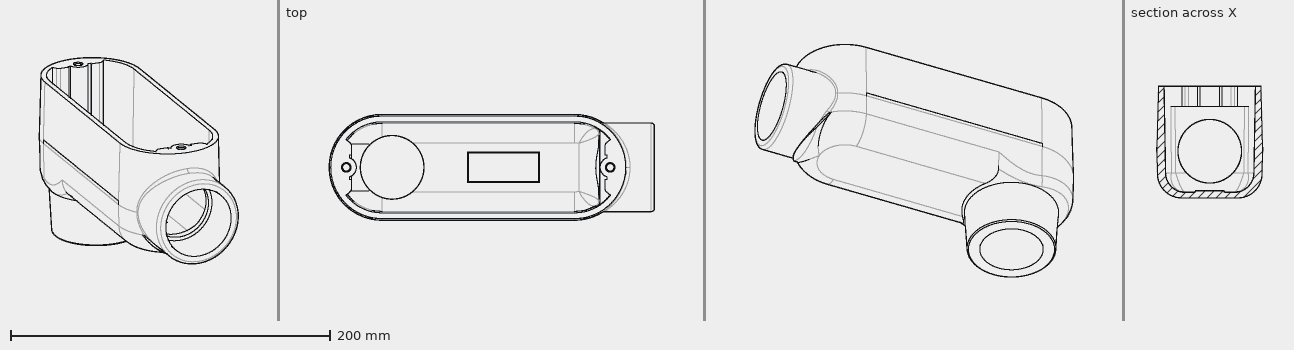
import cadquery as cq
import math


overall_length = 203.8
body_span = 120.5
body_radius = 33.2
draft = 1.5
rim_z = 40.8
floor_under_z = -29.3
under_round = 15.3
land_height = 2.5

mouth_radius = 28.5
cavity_floor_z = -25.7
cavity_draft = 1.0
floor_round = 12.2
end_wall_x = 136.3
end_wall_top_z = 28.1
end_wall_corner = 3.0

hub_bore = 39.7
hub_diameter = 55.6
side_hub_end_x = overall_length - body_radius
side_hub_end_round = 2.0
side_hub_root_x = 147.7
side_hub_root_end_x = 154.6
side_hub_blend = 2.5
side_bore_step_x = 139.8
side_bore_outer = 44.5
down_hub_x = 6.3
down_hub_bottom_z = -61.0
down_hub_top_z = -31.0
down_hub_top_radius = 29.5
down_hub_chamfer = 0.8
flare_angle = 45
flare_round = 9.4
flare_top_z = -10.2

screw_inset = 22.5
screw_diameter = 4.7
screw_depth = 16.3
screw_chamfer = 0.6
screw_chamfer_angle = 45
screw_boss_radius = 6.3
pad_face = 19.2
pad_half_width = 14.7
pad_corner_half_width = 17.3
pad_round = 3.0
pad_recess_depth = 1.2
pad_recess_width = 15.5

plate_x = 53.4
plate_length = 45.0
plate_width = 19.0
plate_height = 1.0
plate_draft = 30


def drafted(radius, z, height, angle):
    """Slot-shaped block, its sides leaning inward by the angle along the extrusion."""
    return (
        cq.Workplane("XY", origin=(body_span / 2, 0, z))
        .slot2D(body_span + 2 * radius, 2 * radius)
        .extrude(height, taper=angle)
    )


def make_body():
    upper = drafted(body_radius, 0, rim_z, draft)
    lower = drafted(body_radius, 0, floor_under_z, draft).faces("<Z").edges().fillet(under_round)
    land = (
        cq.Workplane("XY")
        .rect(body_span, 2 * body_radius)
        .extrude(land_height)
        .translate((body_span / 2, 0, 0))
    )
    return upper.union(lower).union(land)


def make_flare():
    """Cone from the down hub out to the upright walls of the body, its outer edge rounded."""
    spread = flare_top_z - down_hub_top_z
    cone = (
        cq.Workplane("XY", origin=(down_hub_x, 0, down_hub_top_z))
        .circle(down_hub_top_radius)
        .extrude(spread, taper=-flare_angle)
    )
    flare = cone.intersect(drafted(body_radius, 0, down_hub_top_z, draft))
    meeting_edges = flare.edges("%HYPERBOLA").add(flare.edges("%BSPLINE"))
    return meeting_edges.fillet(flare_round)


def make_down_hub():
    height = down_hub_top_z - down_hub_bottom_z
    lean = math.degrees(math.atan((down_hub_top_radius - hub_diameter / 2) / height))
    return (
        cq.Workplane("XY", origin=(down_hub_x, 0, down_hub_top_z))
        .circle(down_hub_top_radius)
        .extrude(-height, taper=lean)
        .faces("<Z")
        .chamfer(down_hub_chamfer)
    )


def turned_along_x(profile):
    """Revolve (x, radius) points about the side hub axis; the seam lies on top."""
    (start, _), (end, _) = profile[0], profile[-1]
    outline = [(start, 0)] + profile + [(end, 0)]
    return cq.Workplane("XZ").polyline(outline).close().revolve(360, (0, 0, 0), (1, 0, 0))


def cylinder_along_x(start, end, radius):
    return turned_along_x([(start, radius), (end, radius)])


def make_side_hub():
    hub = cylinder_along_x(body_span, side_hub_end_x, hub_diameter / 2)
    return hub.faces(">X").edges().fillet(side_hub_end_round)


def make_side_hub_root():
    """Round filling under the right end, kept inside the upright walls of the body."""
    root = turned_along_x(
        [
            (body_span, -floor_under_z),
            (side_hub_root_x, -floor_under_z),
            (side_hub_root_end_x, hub_diameter / 2),
        ]
    )
    return root.intersect(drafted(body_radius, 0, floor_under_z, draft))


def make_cavity():
    depth = rim_z - cavity_floor_z
    full = drafted(mouth_radius, rim_z, -depth, cavity_draft)
    wall_height = end_wall_top_z - cavity_floor_z
    wall_foot_x = end_wall_x - wall_height * math.tan(math.radians(cavity_draft))
    beyond_wall = (
        cq.Workplane("XZ", origin=(0, mouth_radius, 0))
        .moveTo(wall_foot_x, cavity_floor_z)
        .lineTo(end_wall_x, end_wall_top_z)
        .lineTo(end_wall_x + body_radius, end_wall_top_z)
        .lineTo(end_wall_x + body_radius, cavity_floor_z)
        .close()
        .extrude(2 * mouth_radius)
    )
    cavity = full.cut(beyond_wall)
    margin = 1.0
    wall_sides = cq.selectors.BoxSelector(
        (wall_foot_x - margin, -mouth_radius, cavity_floor_z - margin),
        (end_wall_x + margin, mouth_radius, end_wall_top_z + margin),
        boundingbox=True,
    )
    cavity = cavity.edges(wall_sides).edges("not |Y").fillet(end_wall_corner)
    return cavity.faces("<Z").edges().fillet(floor_round)


def make_pad():
    """Solid to keep at the left end of the cavity, with the screw boss bulging from it."""
    depth = rim_z - floor_under_z
    front_corners = [(-pad_face, -pad_half_width), (-pad_face, pad_half_width)]
    rear_corners = [(-screw_inset, pad_corner_half_width), (-screw_inset, -pad_corner_half_width)]
    wall_corners = [(-body_radius, pad_corner_half_width), (-body_radius, -pad_corner_half_width)]
    base = cq.Workplane("XY", origin=(0, 0, floor_under_z))
    block = (
        base.polyline(front_corners + rear_corners[:1] + wall_corners + rear_corners[1:])
        .close()
        .extrude(depth)
        .edges("|Z")
        .edges(">X")
        .fillet(pad_round)
    )
    recess = (
        base.center(-pad_face - pad_recess_depth / 2, 0)
        .rect(pad_recess_depth, pad_recess_width)
        .extrude(depth)
    )
    boss = base.center(-screw_inset, 0).circle(screw_boss_radius).extrude(depth)
    return block.cut(recess).union(boss)


def make_pad_foot():
    """Concave fillet between the cavity floor and the face of the left pad."""
    return (
        cq.Workplane("XZ", origin=(-pad_face, pad_half_width, cavity_floor_z))
        .moveTo(0, floor_round)
        .radiusArc((floor_round, 0), -floor_round)
        .lineTo(0, 0)
        .close()
        .extrude(2 * pad_half_width)
    )


def make_plate():
    """Plate with sloping sides."""
    return (
        cq.Workplane("XY", origin=(plate_x + plate_length / 2, 0, cavity_floor_z))
        .rect(plate_length, plate_width)
        .extrude(plate_height, taper=plate_draft)
    )


def make_side_bore():
    """Hub bore that opens wider beyond a short lip at the end wall."""
    lip = cylinder_along_x(body_span, side_bore_step_x, hub_bore / 2)
    return lip.union(cylinder_along_x(side_bore_step_x, side_hub_end_x, side_bore_outer / 2))


def make_down_bore():
    return (
        cq.Workplane("XY", origin=(down_hub_x, 0, down_hub_bottom_z))
        .circle(hub_bore / 2)
        .extrude(-down_hub_bottom_z)
    )


def make_screw_holes():
    ends = [(-screw_inset, 0), (body_span + screw_inset, 0)]
    rim = cq.Workplane("XY", origin=(0, 0, rim_z)).pushPoints(ends)
    countersinks = (
        cq.Workplane("XY", origin=(0, 0, rim_z))
        .pushPoints(ends)
        .circle(screw_diameter / 2 + screw_chamfer)
        .extrude(-screw_chamfer, taper=screw_chamfer_angle)
    )
    return rim.circle(screw_diameter / 2).extrude(-screw_depth).union(countersinks)


def blend_side_hub(housing):
    """Round the inside corner where the side hub leaves the end wall."""
    corner = cq.selectors.BoxSelector(
        (body_span, -body_radius, -body_radius),
        (body_span + body_radius + side_hub_blend, body_radius, body_radius),
        boundingbox=True,
    )
    return housing.edges(corner).edges("%BSPLINE").fillet(side_hub_blend)


outer = blend_side_hub(make_body().union(make_side_hub())).union(make_side_hub_root())
outer = outer.union(make_flare()).union(make_down_hub())
left_pad = make_pad()
right_pad = left_pad.mirror("YZ").translate((body_span, 0, 0))
cavity = make_cavity().cut(left_pad.union(make_pad_foot())).cut(right_pad)
result = outer.cut(cavity).union(make_plate())
result = result.cut(make_side_bore()).cut(make_down_bore()).cut(make_screw_holes())